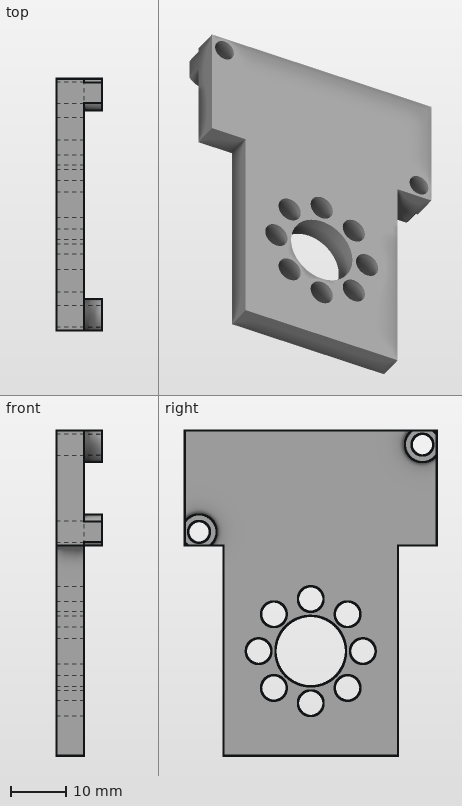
import cadquery as cq

plate_thickness = 5.05
total_thickness = 8.3
boss_height = total_thickness - plate_thickness
height = 59.2
head_width = 45.8
head_height = 20.95
stem_width = 31.7
shoulder_z = height - head_height

boss_radius = 3.2
boss_hole_diameter = 3.9
boss_edge_distance = 2.6
boss_shoulder_distance = 2.5
boss_y = head_width / 2 - boss_edge_distance
boss_centers = [
    (boss_y, height - boss_edge_distance),
    (-boss_y, shoulder_z + boss_shoulder_distance),
]

bore_z = 19.05
bore_diameter = 12.8
ring_radius = 9.45
ring_hole_diameter = 4.6
ring_hole_count = 8


def head_block(thickness):
    """Wide upper block of the T, extruded from X = 0."""
    return cq.Workplane("YZ").center(0, height - head_height / 2).rect(head_width, head_height).extrude(thickness)


def make_plate():
    stem = cq.Workplane("YZ").center(0, shoulder_z / 2).rect(stem_width, shoulder_z).extrude(plate_thickness)
    return head_block(plate_thickness).union(stem)


def make_bosses():
    """Round bosses trimmed flush with the edges of the head."""
    bosses = (
        cq.Workplane("YZ", origin=(plate_thickness, 0, 0))
        .pushPoints(boss_centers)
        .circle(boss_radius)
        .extrude(boss_height)
    )
    return bosses.intersect(head_block(total_thickness))


def make_holes():
    boss_holes = (
        cq.Workplane("YZ").pushPoints(boss_centers).circle(boss_hole_diameter / 2).extrude(total_thickness)
    )
    bore = cq.Workplane("YZ").center(0, bore_z).circle(bore_diameter / 2).extrude(plate_thickness)
    ring_holes = (
        cq.Workplane("YZ")
        .center(0, bore_z)
        .polarArray(ring_radius, 0, 360, ring_hole_count)
        .circle(ring_hole_diameter / 2)
        .extrude(plate_thickness)
    )
    return boss_holes.union(bore).union(ring_holes)


result = make_plate().union(make_bosses()).cut(make_holes())